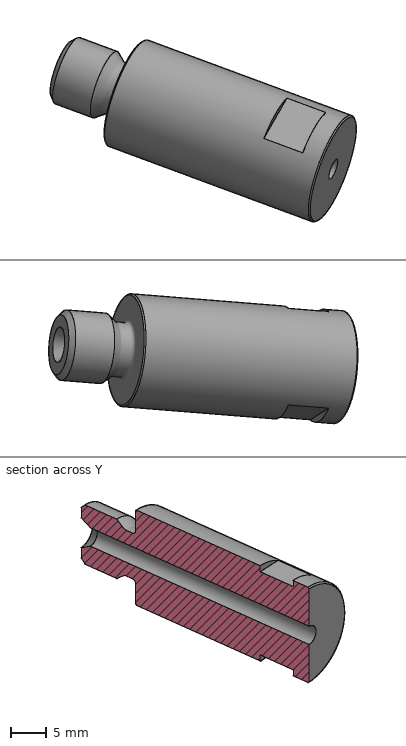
import cadquery as cq
import math

total_length = 42.0
body_radius = 16.0 / 2
body_chamfer = 0.2

stud_length = 10.0
stud_radius = 10.0 / 2
stud_chamfer = 0.75
stud_straight_end = 6.6
neck_radius = 3.85
neck_taper_angle = 38.0
taper_fillet = 0.4
shoulder_fillet = 0.5
selection_margin = 0.05

bore_diameter = 3.0
countersink_diameter = 5.0
countersink_angle = 60.0

flat_length = 6.0
flat_end_gap = 3.0
across_flats = 14.0


def make_turned_blank():
    """Revolve the stepped half profile, then round both ends of the neck."""
    taper_length = (stud_radius - neck_radius) / math.tan(math.radians(neck_taper_angle))
    neck_start = stud_straight_end + taper_length
    blank = (
        cq.Workplane("XY")
        .moveTo(0, 0)
        .lineTo(0, stud_radius - stud_chamfer)
        .lineTo(stud_chamfer, stud_radius)
        .lineTo(stud_straight_end, stud_radius)
        .lineTo(neck_start, neck_radius)
        .lineTo(stud_length, neck_radius)
        .lineTo(stud_length, body_radius - body_chamfer)
        .lineTo(stud_length + body_chamfer, body_radius)
        .lineTo(total_length - body_chamfer, body_radius)
        .lineTo(total_length, body_radius - body_chamfer)
        .lineTo(total_length, 0)
        .close()
        .revolve(360, (0, 0, 0), (1, 0, 0))
    )
    for corner_x, fillet_radius in ((neck_start, taper_fillet), (stud_length, shoulder_fillet)):
        reach = neck_radius + selection_margin
        corner = cq.selectors.BoxSelector(
            (corner_x - selection_margin, -reach, -reach),
            (corner_x + selection_margin, reach, reach),
            boundingbox=True,
        )
        blank = blank.edges(corner).fillet(fillet_radius)
    return blank


def cut_bore(part):
    """Drill through along X with a countersink in the stud face."""
    return (
        part.faces("<X")
        .workplane(origin=(0, 0, 0))
        .cskHole(bore_diameter, countersink_diameter, countersink_angle)
    )


def cut_wrench_flats(part):
    """Mill the flats facing +Z and -Z."""
    flat_center_x = total_length - flat_end_gap - flat_length / 2
    cutter_size = 2 * body_radius
    for side in (1, -1):
        center_z = side * (across_flats + cutter_size) / 2
        cutter = cq.Workplane("XY").box(flat_length, cutter_size, cutter_size)
        part = part.cut(cutter.translate((flat_center_x, 0, center_z)))
    return part


result = cut_wrench_flats(cut_bore(make_turned_blank()))